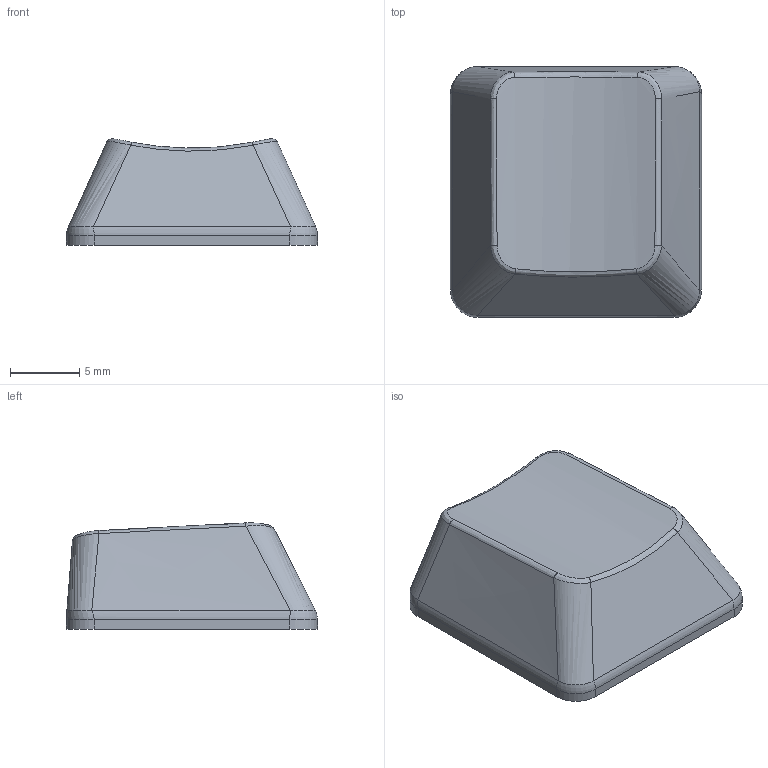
import cadquery as cq

base_size = 18.16
base_corner_radius = 2.0
skirt_height = 0.67

shoulder_height = 0.68
shoulder_intervals = 3
shoulder_corner_radius = 1.8
side_inset = 0.15
front_inset = 0.17
back_inset = 0.03

top_width = 11.86
top_length = 14.1
top_corner_radius = 1.9
top_center_y = 1.53
top_center_z = 7.73
top_tilt = 3.0

dish_radius = 22.0
dish_bottom_z = 6.63
dish_length = 2 * base_size
rim_radius = 0.4


def tilted_plane(height):
    """Plane through the middle of the top at the given height, leaning down toward +Y."""
    level_plane = cq.Plane(origin=(0, top_center_y, height))
    return level_plane.rotated((-top_tilt, 0, 0))


def rounded_rectangle(plane, width, length, corner_radius):
    """Closed rounded-rectangle wire centred on the given plane."""
    outline = cq.Sketch().rect(width, length).vertices().fillet(corner_radius).reset()
    return outline.faces().val().outerWire().moved(plane.location)


def shoulder_section(rise):
    """Level shoulder wire at a rise from 0 (skirt) to 1 (walls), on a parabolic profile."""
    growth = rise**2
    front_y = -base_size / 2 + front_inset * growth
    back_y = base_size / 2 - back_inset * growth
    width = base_size - 2 * side_inset * growth
    corner_radius = base_corner_radius + (shoulder_corner_radius - base_corner_radius) * growth
    level = skirt_height + shoulder_height * rise
    plane = cq.Plane(origin=(0, (front_y + back_y) / 2, level))
    return rounded_rectangle(plane, width, back_y - front_y, corner_radius)


def make_skirt():
    """Upright band with rounded corners."""
    block = cq.Workplane("XY").rect(base_size, base_size).extrude(skirt_height)
    return block.edges("|Z").fillet(base_corner_radius)


def make_shoulder():
    """Smooth loft that is upright at the skirt and leans with the walls at its upper end."""
    sections = [shoulder_section(step / shoulder_intervals) for step in range(shoulder_intervals + 1)]
    return cq.Workplane(cq.Solid.makeLoft(sections))


def make_walls():
    """Sloping walls, ruled from the shoulder to the tilted top section."""
    top_section = rounded_rectangle(tilted_plane(top_center_z), top_width, top_length, top_corner_radius)
    return cq.Workplane(cq.Solid.makeLoft([shoulder_section(1.0), top_section], True))


def make_dish():
    """Cylinder lying along the tilted top."""
    dish_plane = tilted_plane(dish_bottom_z)
    axis_start = dish_plane.toWorldCoords((0, -dish_length / 2, dish_radius))
    return cq.Workplane(cq.Solid.makeCylinder(dish_radius, dish_length, axis_start, dish_plane.yDir))


dished_walls = make_walls().cut(make_dish())
crown = dished_walls.faces("%CYLINDER").edges().fillet(rim_radius)
result = make_skirt().union(make_shoulder()).union(crown)